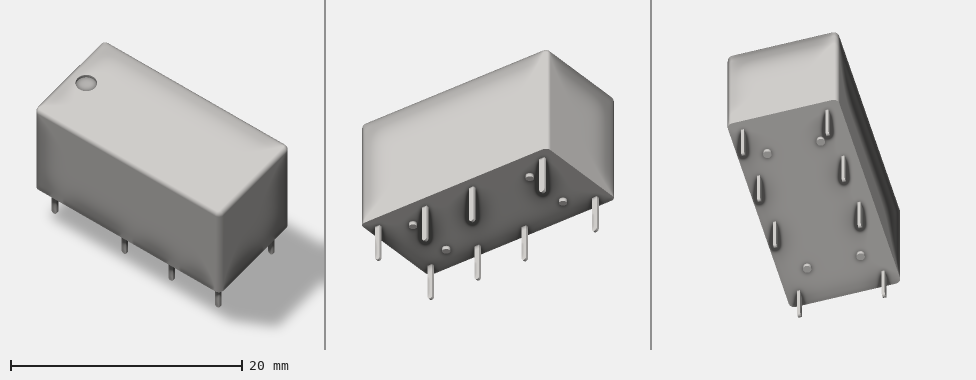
import cadquery as cq

length = 20.2
width = 10.02
height = 10.5
edge_radius = 0.5

mark_diameter = 1.85
mark_depth = 0.3
mark_x = -8.22

pin_length = 3.5
pin_thickness = 0.28
row_spacing = 7.62
pin_pitch = 5.07
first_pin_gap = 1.5 * pin_pitch
first_pin_x = -8.75
first_pin_width = 0.55
pin_width = 0.48
narrow_pins_per_row = 3

foot_diameter = 0.73
foot_height = 0.35
foot_spacing_x = 12.6
foot_spacing_y = 4.8


def make_housing():
    """Box with rounded upright and top edges; the bottom edges stay sharp."""
    box = cq.Workplane("XY").box(length, width, height, centered=(True, True, False))
    return box.edges("|Z or >Z").fillet(edge_radius)


def make_mark_recess():
    return (
        cq.Workplane("XY", origin=(mark_x, 0, height - mark_depth))
        .circle(mark_diameter / 2)
        .extrude(mark_depth)
    )


def make_pin(x, y, blade_width):
    """Flat blade hanging from the underside, with a half-round tip."""
    tip_radius = blade_width / 2
    return (
        cq.Workplane("XZ", origin=(x, y, 0))
        .moveTo(-tip_radius, 0)
        .lineTo(-tip_radius, tip_radius - pin_length)
        .threePointArc((0, -pin_length), (tip_radius, tip_radius - pin_length))
        .lineTo(tip_radius, 0)
        .close()
        .extrude(pin_thickness / 2, both=True)
    )


def make_feet():
    return (
        cq.Workplane("XY")
        .rect(foot_spacing_x, foot_spacing_y, forConstruction=True)
        .vertices()
        .circle(foot_diameter / 2)
        .extrude(-foot_height)
    )


result = make_housing().cut(make_mark_recess()).union(make_feet())

for row_y in (-row_spacing / 2, row_spacing / 2):
    result = result.union(make_pin(first_pin_x, row_y, first_pin_width))
    for index in range(narrow_pins_per_row):
        pin_x = first_pin_x + first_pin_gap + index * pin_pitch
        result = result.union(make_pin(pin_x, row_y, pin_width))